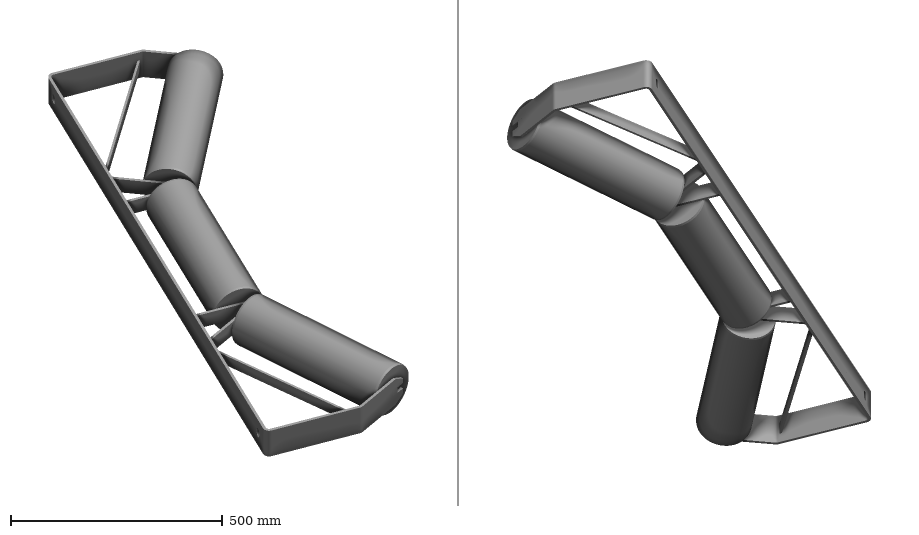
import cadquery as cq
import math


FRAME_LENGTH = 1400.0
STRIP_THICKNESS = 7.0
STRIP_WIDTH = 80.0
BEND_RADIUS = 15.0
FLANGE_TIP_Y = 382.0
FLANGE_CORNER_LENGTH = 30.0
FLANGE_CORNER_WIDTH = 17.0
MOUNT_HOLE_LENGTH = 25.0
MOUNT_HOLE_WIDTH = 17.0
MOUNT_HOLE_X = 652.0

ROLLER_DIAMETER = 133.0
ROLLER_LENGTH = 430.0
ROLLER_TAPER_LENGTH = 5.0
ROLLER_TAPER_DEPTH = 1.0
AXLE_WIDTH = 17.0
AXLE_OVERHANG = 11.0
SLOT_HEIGHT = 70.0
TROUGH_ANGLE = 30.0
FORWARD_TILT = 1.0
CENTRE_ROLLER_Y = 126.0
CENTRE_ROLLER_Z = -7.0
SIDE_ROLLER_X = 440.0
SIDE_ROLLER_Y = 244.0

BRACKET_WIDTH = 40.0
BRACE_WIDTH = 30.0
BRACKET_TOP_Y = 151.0
BRACKET_BEND_RADIUS = 8.0
BRACE_THICKNESS = 5.0
BRACE_WALL_Y = 232.0
BRACE_BASE_X = 345.0

HALF_LENGTH = FRAME_LENGTH / 2
AXLE_HALF = ROLLER_LENGTH / 2 + AXLE_OVERHANG
COS_TROUGH = math.cos(math.radians(TROUGH_ANGLE))
SIN_TROUGH = math.sin(math.radians(TROUGH_ANGLE))
TAN_TROUGH = SIN_TROUGH / COS_TROUGH
SIDE_ROLLER_Z = CENTRE_ROLLER_Z + ROLLER_LENGTH / 2 * math.sin(math.radians(FORWARD_TILT))


def support_face_x(side, y):
    """X, at height y, of the left roller's support face: side -1 is the outer end, +1 the inner end."""
    end_x = -SIDE_ROLLER_X + side * AXLE_HALF * COS_TROUGH
    end_y = SIDE_ROLLER_Y - side * AXLE_HALF * SIN_TROUGH
    return end_x + (y - end_y) * TAN_TROUGH


def mirrored(body):
    """Copy of a left-hand body on the right-hand side."""
    return body.mirror("YZ")


def bent_strip(path, width, bend_radius):
    """Strip whose outer face follows path; the thickness lies to the right of the travel direction."""
    directions = []
    for (x0, y0), (x1, y1) in zip(path, path[1:]):
        length = math.hypot(x1 - x0, y1 - y0)
        directions.append(((x1 - x0) / length, (y1 - y0) / length))
    before = directions[:1] + directions
    after = directions + directions[-1:]
    inner = []
    for (x, y), (ax, ay), (bx, by) in zip(path, before, after):
        mitre = STRIP_THICKNESS / (1 + ax * bx + ay * by)
        inner.append((x + mitre * (ay + by), y - mitre * (ax + bx)))
    strip = cq.Workplane("XY").polyline(path + inner[::-1]).close().extrude(width / 2, both=True)
    for points, radius in ((path, bend_radius), (inner, bend_radius - STRIP_THICKNESS)):
        for x, y in points[1:-1]:
            strip = strip.edges(cq.NearestToPointSelector((x, y, 0))).fillet(radius)
    return strip


def place_left(body):
    """Tilt, swing and move a body from the roller's own axes to the left roller's place."""
    tilted = body.rotate((0, 0, 0), (0, 1, 0), FORWARD_TILT)
    swung = tilted.rotate((0, 0, 0), (0, 0, 1), -TROUGH_ANGLE)
    return swung.translate((-SIDE_ROLLER_X, SIDE_ROLLER_Y, SIDE_ROLLER_Z))


def place_centre(body):
    """Move a body from the roller's own axes to the centre roller's place."""
    return body.translate((0, CENTRE_ROLLER_Y, CENTRE_ROLLER_Z))


def make_roller():
    """Roller with slightly tapered ends and a square axle, along X and centred on the origin."""
    radius = ROLLER_DIAMETER / 2
    end_radius = radius - ROLLER_TAPER_DEPTH
    end_x = ROLLER_LENGTH / 2
    taper_x = end_x - ROLLER_TAPER_LENGTH
    half_section = [
        (-end_x, 0),
        (-end_x, end_radius),
        (-taper_x, radius),
        (taper_x, radius),
        (end_x, end_radius),
        (end_x, 0),
    ]
    shell = cq.Workplane("XZ").polyline(half_section).close().revolve(360, (0, 0, 0), (1, 0, 0))
    axle = cq.Workplane("XY").box(2 * AXLE_HALF, AXLE_WIDTH, AXLE_WIDTH)
    return shell.union(axle)


def make_slot_cutter():
    """Open-topped slot space, seated under the axle, for both ends of a roller."""
    reach = AXLE_HALF + STRIP_THICKNESS / 2
    slot = cq.Workplane("XY").box(2 * reach, SLOT_HEIGHT, AXLE_WIDTH, centered=(True, False, True))
    return slot.translate((0, -AXLE_WIDTH / 2, 0))


slot_cutter = make_slot_cutter()
left_slots = place_left(slot_cutter)
right_slots = mirrored(left_slots)
centre_slots = place_centre(slot_cutter)


def make_flange_corner_cutter():
    """Two wedges that bevel the left flange's tip corners."""
    tip_x = support_face_x(-1, FLANGE_TIP_Y)
    wedge_points = [(0, 0), (-FLANGE_CORNER_LENGTH, 0), (0, -FLANGE_CORNER_WIDTH)]
    flange_plane = cq.Plane(
        origin=(tip_x, FLANGE_TIP_Y, 0),
        xDir=(SIN_TROUGH, COS_TROUGH, 0),
        normal=(COS_TROUGH, -SIN_TROUGH, 0),
    )
    wedges = cq.Workplane("XY")
    for edge in (-1, 1):
        points = [(along, edge * (STRIP_WIDTH / 2 + across)) for along, across in wedge_points]
        wedge = cq.Workplane(flange_plane).polyline(points).close()
        wedges = wedges.add(wedge.extrude(STRIP_THICKNESS))
    return wedges.combine()


def make_frame():
    """Bent strip with a base, two walls and two inclined flanges."""
    wall_top = FLANGE_TIP_Y - (support_face_x(-1, FLANGE_TIP_Y) + HALF_LENGTH) / TAN_TROUGH
    left_path = [(support_face_x(-1, FLANGE_TIP_Y), FLANGE_TIP_Y), (-HALF_LENGTH, wall_top), (-HALF_LENGTH, 0)]
    right_path = [(-x, y) for x, y in left_path]
    frame = bent_strip(right_path + left_path[::-1], STRIP_WIDTH, BEND_RADIUS)
    corners = make_flange_corner_cutter()
    frame = frame.cut(corners).cut(mirrored(corners))
    frame = frame.cut(left_slots).cut(right_slots)
    mount_holes = (
        cq.Workplane("XZ")
        .pushPoints([(-MOUNT_HOLE_X, 0), (MOUNT_HOLE_X, 0)])
        .slot2D(MOUNT_HOLE_LENGTH, MOUNT_HOLE_WIDTH, 90)
        .extrude(-STRIP_THICKNESS)
    )
    return frame.cut(mount_holes)


def make_left_bracket():
    """Bent strip standing on the base: an inclined leg, a short bridge and an upright leg."""
    slope_offset = STRIP_THICKNESS / COS_TROUGH
    upright_x = STRIP_THICKNESS - AXLE_HALF
    path = [
        (support_face_x(1, 0) - slope_offset, 0),
        (support_face_x(1, BRACKET_TOP_Y) - slope_offset, BRACKET_TOP_Y),
        (upright_x, BRACKET_TOP_Y),
        (upright_x, 0),
    ]
    bracket = bent_strip(path, BRACKET_WIDTH, BRACKET_BEND_RADIUS)
    base_space = cq.Workplane("XY").box(FRAME_LENGTH, 2 * STRIP_THICKNESS, STRIP_WIDTH)
    return bracket.cut(base_space).cut(left_slots).cut(centre_slots)


def make_left_brace():
    """Flat diagonal strip from the wall's inner face to the base's upper face."""
    wall_x = STRIP_THICKNESS - HALF_LENGTH
    angle = math.atan2(BRACE_WALL_Y - STRIP_THICKNESS, -BRACE_BASE_X - wall_x)
    half_height = BRACE_THICKNESS / 2 / math.cos(angle)
    half_foot = BRACE_THICKNESS / 2 / math.sin(angle)
    outline = [
        (wall_x, BRACE_WALL_Y - half_height),
        (wall_x, BRACE_WALL_Y + half_height),
        (-BRACE_BASE_X + half_foot, STRIP_THICKNESS),
        (-BRACE_BASE_X - half_foot, STRIP_THICKNESS),
    ]
    return cq.Workplane("XY").polyline(outline).close().extrude(BRACE_WIDTH / 2, both=True)


frame = make_frame()

left_roller = place_left(make_roller())
rollers = [left_roller, place_centre(make_roller()), mirrored(left_roller)]

left_bracket = make_left_bracket()
brackets = [left_bracket, mirrored(left_bracket)]

left_brace = make_left_brace()
braces = [left_brace, mirrored(left_brace)]

bodies = [frame, *rollers, *brackets, *braces]
result = cq.Compound.makeCompound([body.solids().val() for body in bodies])